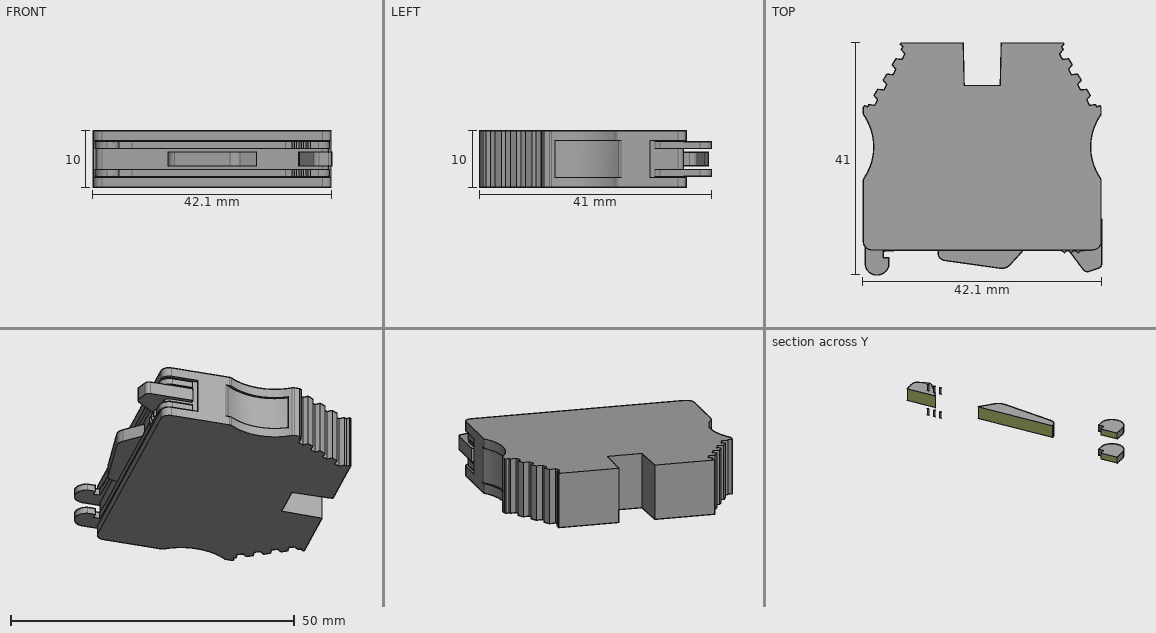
import cadquery as cq
import math


OVERALL_WIDTH = 42.1
BODY_WIDTH = 41.97
BODY_HEIGHT = 36.5
THICKNESS = 10.0
CORNER_RADIUS = 1.5
HALF_WIDTH = BODY_WIDTH / 2

SLOT_TOP_WIDTH = 6.65
SLOT_FLOOR_WIDTH = 6.3
SLOT_FLOOR_Y = 29.0

WAIST_BOTTOM_Y = 12.4
WAIST_TOP_Y = 23.9
WAIST_DEPTH = 1.85
WAIST_EDGE_RADIUS = 0.65
WAIST_MIDDLE_Y = (WAIST_BOTTOM_Y + WAIST_TOP_Y) / 2
WAIST_HALF_HEIGHT = (WAIST_TOP_Y - WAIST_BOTTOM_Y) / 2
WAIST_RADIUS = (WAIST_HALF_HEIGHT**2 + WAIST_DEPTH**2) / (2 * WAIST_DEPTH)
WAIST_CENTER_X = -HALF_WIDTH + WAIST_DEPTH - WAIST_RADIUS

POCKET_DEPTH = 0.38
POCKET_EDGE_RADIUS = 0.65
POCKET_TOP_Y = 23.2
POCKET_RADIUS = WAIST_RADIUS + POCKET_DEPTH
POCKET_BOTTOM_Y = WAIST_MIDDLE_Y - math.sqrt(POCKET_RADIUS**2 - (WAIST_RADIUS - WAIST_DEPTH)**2)

TOOTH_COUNT = 4
TOOTH_STEP_X = -1.6
TOOTH_STEP_Y = -2.7
FIRST_TIP_X = 6.7 - HALF_WIDTH
FIRST_TIP_Y = 35.32
GROOVE_OFFSETS = [(0.65, -0.75), (0.15, -1.73), (-0.93, -1.6)]
TOP_LEAD_OFFSETS = [(0, 0), (-0.15, -0.25), (0.3, -0.67)]
NICK_FOOT_OFFSET = (-0.15, -0.4)
SIDE_BEVEL_WIDTH = 0.2
SIDE_BEVEL_TOP_DROP = 0.15
SIDE_BEVEL_BOTTOM_DROP = 0.55

CORE_INSET = 0.5
RECESS_TOP_Y = 6.45
RECESS_WIDTH_Z = 6.5

LAYER_INNER_Z = 1.8
LAYER_THICKNESS = 1.25
LAYER_LEFT_X = 0.35 - HALF_WIDTH
LAYER_RIGHT_X = HALF_WIDTH - 0.35
LAYER_BOTTOM_Y = -0.1
LAYER_TOP_Y = 5.5
LAYER_CHAMFER_Y = 4.67
LAYER_CORNER_RADIUS = 1.95
HOOK_BOTTOM_Y = -4.45
HOOK_ARC_RADIUS = 2.05
HOOK_TIP_X = LAYER_LEFT_X + 4.2
HOOK_TIP_LOW_Y = -2.78
HOOK_TIP_HIGH_Y = -1.35
HOOK_THROAT_X = LAYER_LEFT_X + 3.25
HOOK_THROAT_TOP_Y = -0.25
HOOK_RAMP_END_X = LAYER_LEFT_X + 6.5

BUMP_COUNT = 3
FIRST_BUMP_X = 14.5
BUMP_PITCH = 1.2
BUMP_WIDTH = 0.75
BUMP_TIP_Y = -0.55
BUMP_ROOT_Y = -0.15
BUMP_RAMP_START_X = 12.9

FOOT_WIDTH_Z = 2.45
MIDDLE_FOOT_LEFT_X = -7.8
MIDDLE_FOOT_RIGHT_X = 7.8
MIDDLE_FOOT_HEEL = (MIDDLE_FOOT_LEFT_X, -1.73)
MIDDLE_FOOT_TOE = (4.2, -3.4)
MIDDLE_FOOT_HEEL_RADIUS = 1.35
MIDDLE_FOOT_TOE_RADIUS = 1.98
END_FOOT_RIGHT_X = OVERALL_WIDTH - HALF_WIDTH
END_FOOT_LEFT_X = 15.25
END_FOOT_TOP_Y = 5.45
END_FOOT_SLOPE_TOP = (END_FOOT_LEFT_X + 0.15, -0.3)
END_FOOT_TOE = (18.25, -4.05)
END_FOOT_OUTER_CORNER = (END_FOOT_RIGHT_X, -3.05)
END_FOOT_ROUNDING = 0.93

CORNER_SEARCH = 0.05


def prism(outline, width_z, middle_z=0.0):
    """Extrude a closed XY outline, centred on middle_z."""
    return outline.extrude(width_z / 2, both=True).translate((0, 0, middle_z))


def round_corner(solid, corner, radius):
    """Round the Z-parallel edge standing at an XY corner."""
    x, y = corner
    low = (x - CORNER_SEARCH, y - CORNER_SEARCH, -THICKNESS)
    high = (x + CORNER_SEARCH, y + CORNER_SEARCH, THICKNESS)
    return solid.edges("|Z").edges(cq.selectors.BoxSelector(low, high)).fillet(radius)


def serration_points():
    """Shoulder points from the top edge of the body down to its left side."""
    points = [(FIRST_TIP_X + dx, BODY_HEIGHT + dy) for dx, dy in TOP_LEAD_OFFSETS]
    for tooth in range(TOOTH_COUNT):
        tip_x = FIRST_TIP_X + tooth * TOOTH_STEP_X
        tip_y = FIRST_TIP_Y + tooth * TOOTH_STEP_Y
        points.append((tip_x, tip_y))
        points += [(tip_x + dx, tip_y + dy) for dx, dy in GROOVE_OFFSETS]
    crest_x, crest_y = points[-1]
    points += [
        (crest_x + NICK_FOOT_OFFSET[0], crest_y + NICK_FOOT_OFFSET[1]),
        (-HALF_WIDTH + SIDE_BEVEL_WIDTH, crest_y - SIDE_BEVEL_TOP_DROP),
        (-HALF_WIDTH, crest_y - SIDE_BEVEL_BOTTOM_DROP),
    ]
    return points


def body_half():
    """Left half of the body, up to the middle plane."""
    outline = (
        cq.Workplane("XY")
        .moveTo(0, 0)
        .lineTo(0, SLOT_FLOOR_Y)
        .lineTo(-SLOT_FLOOR_WIDTH / 2, SLOT_FLOOR_Y)
        .lineTo(-SLOT_TOP_WIDTH / 2, BODY_HEIGHT)
    )
    for point in serration_points():
        outline = outline.lineTo(*point)
    outline = (
        outline.lineTo(-HALF_WIDTH, WAIST_TOP_Y)
        .threePointArc((-HALF_WIDTH + WAIST_DEPTH, WAIST_MIDDLE_Y), (-HALF_WIDTH, WAIST_BOTTOM_Y))
        .lineTo(-HALF_WIDTH, 0)
        .close()
    )
    half = prism(outline, THICKNESS)
    half = round_corner(half, (-HALF_WIDTH, 0), CORNER_RADIUS)
    for y in (WAIST_BOTTOM_Y, WAIST_TOP_Y):
        half = round_corner(half, (-HALF_WIDTH, y), WAIST_EDGE_RADIUS)
    half = half.cut(waist_pocket())
    return round_corner(half, (-HALF_WIDTH, POCKET_BOTTOM_Y), POCKET_EDGE_RADIUS)


def waist_pocket():
    """Cutter for the left waist pocket, its floor concentric with the waist."""
    cylinder = prism(
        cq.Workplane("XY").center(WAIST_CENTER_X, WAIST_MIDDLE_Y).circle(POCKET_RADIUS),
        RECESS_WIDTH_Z,
    )
    window = cq.Workplane("XY").box(BODY_WIDTH, POCKET_TOP_Y - POCKET_BOTTOM_Y, RECESS_WIDTH_Z)
    window = window.translate((-HALF_WIDTH, (POCKET_TOP_Y + POCKET_BOTTOM_Y) / 2, 0))
    return cylinder.intersect(window)


def recess():
    """Cutter for the band around the lower body; leaves the inset core standing."""
    band = cq.Workplane("XY").box(BODY_WIDTH, RECESS_TOP_Y, RECESS_WIDTH_Z)
    band = band.translate((0, RECESS_TOP_Y / 2, 0))
    core = (
        cq.Workplane("XY")
        .box(BODY_WIDTH - 2 * CORE_INSET, BODY_HEIGHT, RECESS_WIDTH_Z)
        .edges("|Z and <Y")
        .fillet(CORNER_RADIUS - CORE_INSET)
        .translate((0, CORE_INSET + BODY_HEIGHT / 2, 0))
    )
    return band.cut(core)


def hook_layer(middle_z):
    """Flat layer with the rail hook at its left end and bumps near its right end."""
    outline = (
        cq.Workplane("XY")
        .moveTo(LAYER_RIGHT_X, LAYER_TOP_Y)
        .lineTo(-HALF_WIDTH + CORE_INSET, LAYER_TOP_Y)
        .lineTo(LAYER_LEFT_X, LAYER_CHAMFER_Y)
        .lineTo(LAYER_LEFT_X, HOOK_BOTTOM_Y + HOOK_ARC_RADIUS)
        .tangentArcPoint((LAYER_LEFT_X + HOOK_ARC_RADIUS, HOOK_BOTTOM_Y), relative=False)
        .tangentArcPoint((HOOK_TIP_X, HOOK_TIP_LOW_Y), relative=False)
        .lineTo(HOOK_TIP_X, HOOK_TIP_HIGH_Y)
        .lineTo(HOOK_THROAT_X, HOOK_TIP_HIGH_Y)
        .lineTo(HOOK_THROAT_X, HOOK_THROAT_TOP_Y)
        .lineTo(HOOK_RAMP_END_X, LAYER_BOTTOM_Y)
        .lineTo(BUMP_RAMP_START_X, LAYER_BOTTOM_Y)
    )
    for bump in range(BUMP_COUNT):
        tip_x = FIRST_BUMP_X + bump * BUMP_PITCH
        outline = (
            outline.lineTo(tip_x - BUMP_WIDTH / 2, BUMP_ROOT_Y)
            .lineTo(tip_x, BUMP_TIP_Y)
            .lineTo(tip_x + BUMP_WIDTH / 2, BUMP_ROOT_Y)
        )
    outline = outline.lineTo(LAYER_RIGHT_X, LAYER_BOTTOM_Y).close()
    layer = prism(outline, LAYER_THICKNESS)
    layer = round_corner(layer, (LAYER_RIGHT_X, LAYER_BOTTOM_Y), LAYER_CORNER_RADIUS)
    return layer.translate((0, 0, middle_z))


def middle_foot():
    """Wedge-shaped foot below the middle of the core."""
    outline = cq.Workplane("XY").polyline([
        (MIDDLE_FOOT_LEFT_X, CORE_INSET),
        MIDDLE_FOOT_HEEL,
        MIDDLE_FOOT_TOE,
        (MIDDLE_FOOT_RIGHT_X, CORE_INSET),
    ]).close()
    foot = prism(outline, FOOT_WIDTH_Z)
    foot = round_corner(foot, MIDDLE_FOOT_HEEL, MIDDLE_FOOT_HEEL_RADIUS)
    return round_corner(foot, MIDDLE_FOOT_TOE, MIDDLE_FOOT_TOE_RADIUS)


def end_foot():
    """Latch foot wrapping the lower right corner of the core."""
    outline = cq.Workplane("XY").polyline([
        (END_FOOT_LEFT_X, END_FOOT_TOP_Y),
        (END_FOOT_LEFT_X, CORE_INSET),
        END_FOOT_SLOPE_TOP,
        END_FOOT_TOE,
        END_FOOT_OUTER_CORNER,
        (END_FOOT_RIGHT_X, END_FOOT_TOP_Y),
    ]).close()
    foot = prism(outline, FOOT_WIDTH_Z)
    for corner in (END_FOOT_TOE, END_FOOT_OUTER_CORNER):
        foot = round_corner(foot, corner, END_FOOT_ROUNDING)
    return foot


left_half = body_half()
result = left_half.union(left_half.mirror("YZ")).cut(recess())
layer_middle_z = LAYER_INNER_Z + LAYER_THICKNESS / 2
for side in (-1, 1):
    result = result.union(hook_layer(side * layer_middle_z))
result = result.union(middle_foot()).union(end_foot()).clean()